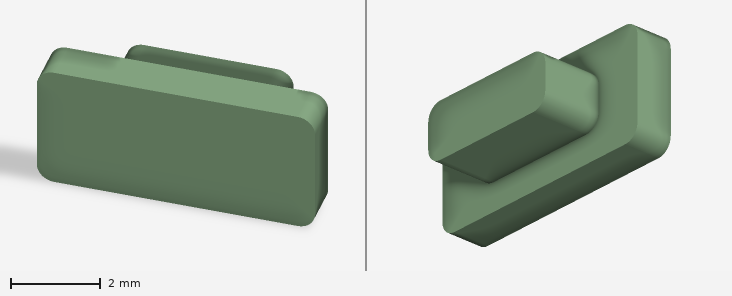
import cadquery as cq

plate_width = 6.5
plate_height = 3.0
plate_thickness = 1.0

total_depth = 2.6
boss_width = 3.9
boss_height = plate_height / 2
boss_length = total_depth - plate_thickness

corner_radius = 0.4


def rounded_block(width, depth, height, front_y):
    """Block centred in X and Z, with its four edges along Y rounded."""
    return (
        cq.Workplane("XY")
        .box(width, depth, height, centered=(True, False, True))
        .edges("|Y")
        .fillet(corner_radius)
        .translate((0, front_y, 0))
    )


plate = rounded_block(plate_width, plate_thickness, plate_height, 0)
boss = rounded_block(boss_width, boss_length, boss_height, plate_thickness)

result = plate.union(boss)